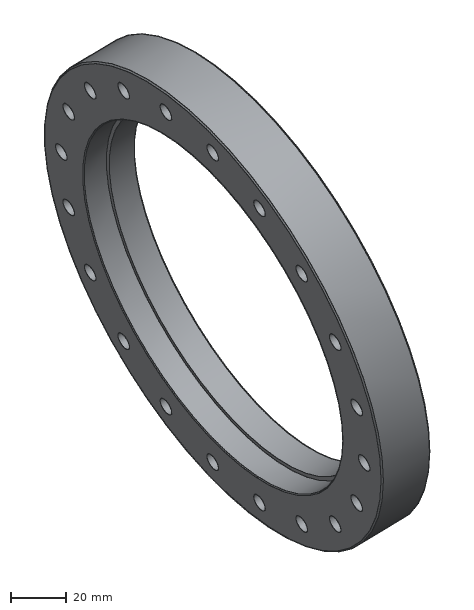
import cadquery as cq

outer_diameter = 202.5
thickness = 22.3
edge_chamfer = 0.6

bore_diameter = 151.2
counterbore_diameter = 154.6
counterbore_depth = 10.5
inner_rim_chamfer = 0.5

bolt_count = 20
bolt_circle_diameter = 181.0
bolt_hole_diameter = 6.9


def front_disc(diameter, depth):
    """Disc on the Y axis, running from the front face toward +Y."""
    front = cq.Workplane("XZ", origin=(0, -thickness / 2, 0))
    return front.circle(diameter / 2).extrude(-depth)


def bolt_holes():
    """Cylinders spaced evenly on the bolt circle, through the full thickness."""
    front = cq.Workplane("XZ", origin=(0, -thickness / 2, 0))
    centres = front.polarArray(bolt_circle_diameter / 2, 0, 360, bolt_count)
    return centres.circle(bolt_hole_diameter / 2).extrude(-thickness)


body = front_disc(outer_diameter, thickness).edges().chamfer(edge_chamfer)

body = body.cut(front_disc(bore_diameter, thickness))
body = body.cut(front_disc(counterbore_diameter, counterbore_depth))

front_rim = body.faces("<Y").edges(cq.selectors.RadiusNthSelector(0))
body = front_rim.chamfer(inner_rim_chamfer)
back_rim = body.faces(">Y").edges(cq.selectors.RadiusNthSelector(0))
body = back_rim.chamfer(inner_rim_chamfer)

result = body.cut(bolt_holes())